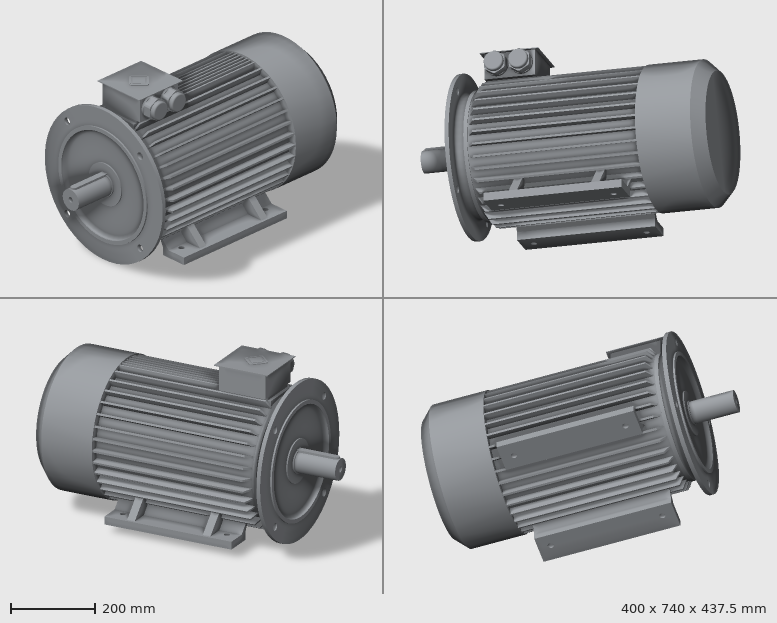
import cadquery as cq
import math


flange_diameter = 400.0
flange_thickness = 10.0
flange_bolt_hole = 19.0
flange_bolt_circle = 350.0
spigot_diameter = 300.0
spigot_height = 4.5
recess_diameter = 280.0
recess_depth = 12.0
recess_fillet = 9.5
hub_diameter = 110.0
hub_end_y = 4.0
bell_shoulder_diameter = 310.0
bell_neck_diameter = spigot_diameter
bell_ring_diameter = 315.0
ring_start_y = 34.0
ring_end_y = 44.0

shaft_diameter = 55.0
shaft_end_y = -109.5
collar_diameter = 60.0
collar_height = 4.0
center_hole_diameter = 14.0
center_hole_depth = 15.0
key_width = 16.0
key_top_z = 32.0
key_end_gap = 2.0

core_radius = 155.5
fin_radius = 175.5
fin_thickness = 5.0
fin_pitch_angle = 10
first_fin_angle = 20
fin_start_y = 47.0
fin_full_y = 61.0
narrow_fin_pitch = 12.0
narrow_fin_thickness = 4.0
narrow_fin_top_z = 173.0
narrow_fin_side_count = 3
narrow_fin_start_y = 187.0
narrow_fin_full_y = 196.0
narrow_fin_end_z = 164.0

overlap = 7.5

cover_diameter = 355.0
cover_start_y = 465.0
cover_end_y = 630.5
cover_chamfer = 29.5

box_center_y = 121.0
box_width = 127.0
box_length = 125.0
box_bottom_z = 169.5
lid_width = 141.0
lid_length = 144.0
lid_thickness = 2.0
badge_top_z = 237.5
badge_height = 2.0
badge_center_y = 117.0
badge_side = 47.0
badge_corner = 6.0
badge_rim = 4.5
badge_groove = 4.5
lid_top_z = badge_top_z - badge_height
lid_bottom_z = lid_top_z - lid_thickness
pad_width = 101.0
pad_top_z = 162.0
pad_start_y = 51.0
pad_end_y = 186.5
seat_inset = 1.5

gland_spacing = 61.0
gland_z = 202.0
gland_washer_diameter = 55.0
gland_washer_thickness = 6.0
gland_hex_corners = 59.0
gland_hex_rounding_diameter = 56.0
gland_hex_length = 21.0
gland_cap_diameter = 47.0
gland_cap_length = 12.0
gland_cap_fillet = 4.0

feet_center_x = 2.0
feet_span = 356.0
foot_width = 71.0
foot_thickness = 20.0
foot_bottom_z = -180.5
foot_start_y = 90.0
foot_length = 342.0
foot_pad_width = 52.0
foot_web_rise = 35.5
foot_hole_diameter = 15.0
foot_hole_spacing_x = 279.0
foot_hole_spacing_y = 279.0
rib_thickness = 21.0
rib_start_y = (150.0, 354.0)
rib_edge_gap = 7.0
foot_top_z = foot_bottom_z + foot_thickness


def disc(diameter, start_y, end_y, x=0, z=0):
    """Solid cylinder along Y."""
    return (
        cq.Workplane("XZ", origin=(x, start_y, z))
        .circle(diameter / 2)
        .extrude(start_y - end_y)
    )


def box(x_range, y_range, z_range):
    """Solid box from its limits along each axis."""
    x0, x1 = x_range
    y0, y1 = y_range
    z0, z1 = z_range
    return cq.Workplane("XY").box(x1 - x0, y1 - y0, z1 - z0, centered=False).translate((x0, y0, z0))


def revolve_around_shaft(points):
    """Solid of revolution about Y from (radius, y) points."""
    return cq.Workplane("XY").polyline(points).close().revolve(360, (0, 0), (0, 1))


def make_front_bell():
    spigot = disc(spigot_diameter, -spigot_height, 0)
    recess = disc(recess_diameter, -spigot_height, recess_depth - spigot_height)
    recess = recess.faces(">Y").edges().fillet(recess_fillet)
    flange = disc(flange_diameter, 0, flange_thickness)
    bolt_offset = flange_bolt_circle / 2 * math.sin(math.radians(45))
    for side_x in (-1, 1):
        for side_z in (-1, 1):
            hole = disc(flange_bolt_hole, 0, flange_thickness, side_x * bolt_offset, side_z * bolt_offset)
            flange = flange.cut(hole)
    bell = flange.union(spigot).cut(recess)
    bell = bell.union(disc(hub_diameter, hub_end_y, flange_thickness))
    shoulder_radius = bell_shoulder_diameter / 2
    neck_radius = bell_neck_diameter / 2
    neck_fillet = shoulder_radius - neck_radius
    neck = (
        cq.Workplane("XY")
        .moveTo(0, flange_thickness)
        .lineTo(shoulder_radius, flange_thickness)
        .radiusArc((neck_radius, flange_thickness + neck_fillet), neck_fillet)
        .lineTo(neck_radius, ring_start_y - neck_fillet)
        .radiusArc((shoulder_radius, ring_start_y), neck_fillet)
        .lineTo(0, ring_start_y)
        .close()
        .revolve(360, (0, 0), (0, 1))
    )
    bell = bell.union(neck)
    return bell.union(disc(bell_ring_diameter, ring_start_y, ring_end_y))


def make_shaft():
    shaft = disc(shaft_diameter, shaft_end_y, flange_thickness)
    shaft = shaft.cut(disc(center_hole_diameter, shaft_end_y, shaft_end_y + center_hole_depth))
    collar = disc(collar_diameter, hub_end_y - collar_height, flange_thickness)
    key_start_y = shaft_end_y + key_end_gap
    key_round_center_y = key_start_y + key_width / 2
    key = (
        cq.Workplane("XY")
        .moveTo(-key_width / 2, hub_end_y)
        .lineTo(-key_width / 2, key_round_center_y)
        .threePointArc((0, key_start_y), (key_width / 2, key_round_center_y))
        .lineTo(key_width / 2, hub_end_y)
        .close()
        .extrude(key_top_z)
    )
    key = key.cut(disc(center_hole_diameter, key_start_y, shaft_end_y + center_hole_depth))
    return shaft.union(collar).union(key)


def make_housing():
    core = disc(2 * core_radius, ring_end_y, cover_start_y)
    envelope = revolve_around_shaft([
        (0, fin_start_y),
        (core_radius, fin_start_y),
        (fin_radius, fin_full_y),
        (fin_radius, cover_start_y),
        (0, cover_start_y),
    ])
    fins = cq.Workplane("XY")
    for angle in range(first_fin_angle, 360 - first_fin_angle + 1, fin_pitch_angle):
        fin = box(
            (-fin_thickness / 2, fin_thickness / 2),
            (fin_start_y, cover_start_y),
            (core_radius - overlap, fin_radius + overlap),
        )
        fins = fins.add(fin.rotate((0, 0, 0), (0, 1, 0), angle))
    narrow_fin_profile = (
        cq.Workplane("YZ")
        .moveTo(narrow_fin_start_y, 0)
        .lineTo(narrow_fin_start_y, narrow_fin_end_z)
        .lineTo(narrow_fin_full_y, narrow_fin_top_z)
        .lineTo(cover_start_y, narrow_fin_top_z)
        .lineTo(cover_start_y, 0)
        .close()
        .extrude(narrow_fin_thickness / 2, both=True)
    )
    for step in range(-narrow_fin_side_count, narrow_fin_side_count + 1):
        fins = fins.add(narrow_fin_profile.translate((step * narrow_fin_pitch, 0, 0)))
    for fin in fins.vals():
        core = core.union(cq.Workplane(fin).intersect(envelope))
    return core


def make_fan_cover():
    cover = disc(cover_diameter, cover_start_y, cover_end_y)
    return cover.faces(">Y").chamfer(cover_chamfer)


def make_badge():
    """Raised diamond on the lid with a groove that sets off its rim."""
    face = (
        cq.Workplane("XY", origin=(0, badge_center_y, lid_top_z))
        .transformed(rotate=(0, 0, 45))
    )
    badge = face.rect(badge_side, badge_side).extrude(badge_height).edges("|Z").fillet(badge_corner)
    groove_outer = badge_side - 2 * badge_rim
    groove_inner = groove_outer - 2 * badge_groove
    groove = (
        face.workplane(offset=badge_height / 2)
        .rect(groove_outer, groove_outer)
        .rect(groove_inner, groove_inner)
        .extrude(badge_height)
    )
    return badge.cut(groove)


def make_gland(center_y):
    start = cq.Workplane("YZ", origin=(box_width / 2, center_y, gland_z))
    hex_start = gland_washer_thickness
    cap_start = hex_start + gland_hex_length
    washer = start.circle(gland_washer_diameter / 2).extrude(gland_washer_thickness)
    nut = (
        start.workplane(offset=hex_start)
        .transformed(rotate=(0, 0, 90))
        .polygon(6, gland_hex_corners)
        .extrude(gland_hex_length)
    )
    rounding = start.workplane(offset=hex_start).circle(gland_hex_rounding_diameter / 2)
    nut = nut.intersect(rounding.extrude(gland_hex_length))
    cap = start.workplane(offset=cap_start).circle(gland_cap_diameter / 2).extrude(gland_cap_length)
    cap = cap.faces(">X").edges().fillet(gland_cap_fillet)
    return washer.union(nut).union(cap)


def make_terminal_box():
    half_width = box_width / 2
    y_range = (box_center_y - box_length / 2, box_center_y + box_length / 2)
    body = box((-half_width, half_width), y_range, (box_bottom_z, lid_bottom_z))
    lid = box(
        (-lid_width / 2, lid_width / 2),
        (box_center_y - lid_length / 2, box_center_y + lid_length / 2),
        (lid_bottom_z, lid_top_z),
    )
    pad = box((-pad_width / 2, pad_width / 2), (pad_start_y, pad_end_y), (0, pad_top_z))
    seat = box(
        (-pad_width / 2, pad_width / 2),
        (y_range[0] + seat_inset, y_range[1] - seat_inset),
        (core_radius - overlap, box_bottom_z),
    )
    assembly = body.union(lid).union(pad).union(seat).union(make_badge())
    for side in (-1, 1):
        assembly = assembly.union(make_gland(box_center_y + side * gland_spacing / 2))
    return assembly


def make_foot(side):
    """One foot with its web and ribs rising at 45 degrees into the housing.

    side is -1 for -X and +1 for +X; the foot is built on +X and mirrored for -X.
    """
    outer_x = feet_span / 2 + side * feet_center_x
    inner_x = outer_x - foot_width
    web_foot_x = outer_x - foot_pad_width
    web_top_x = web_foot_x - foot_web_rise
    rib_foot_x = outer_x - rib_edge_gap
    rib_top_z = foot_top_z + rib_foot_x - inner_x
    foot = (
        cq.Workplane("XZ", origin=(0, foot_start_y, 0))
        .polyline([
            (outer_x, foot_bottom_z),
            (outer_x, foot_top_z),
            (web_foot_x, foot_top_z),
            (web_top_x, foot_top_z + foot_web_rise),
            (inner_x, foot_top_z),
            (inner_x, foot_bottom_z),
        ])
        .close()
        .extrude(-foot_length)
    )
    for start_y in rib_start_y:
        rib = (
            cq.Workplane("XZ", origin=(0, start_y, 0))
            .polyline([
                (rib_foot_x, foot_top_z),
                (inner_x, rib_top_z),
                (inner_x, foot_top_z),
            ])
            .close()
            .extrude(-rib_thickness)
        )
        foot = foot.union(rib)
    foot_center_y = foot_start_y + foot_length / 2
    for end in (-1, 1):
        hole = (
            cq.Workplane("XY", origin=(foot_hole_spacing_x / 2, foot_center_y, foot_bottom_z))
            .center(0, end * foot_hole_spacing_y / 2)
            .circle(foot_hole_diameter / 2)
            .extrude(foot_thickness)
        )
        foot = foot.cut(hole)
    return foot if side > 0 else foot.mirror("YZ")


result = (
    make_housing()
    .union(make_fan_cover())
    .union(make_front_bell())
    .union(make_shaft())
    .union(make_terminal_box())
    .union(make_foot(-1))
    .union(make_foot(1))
)